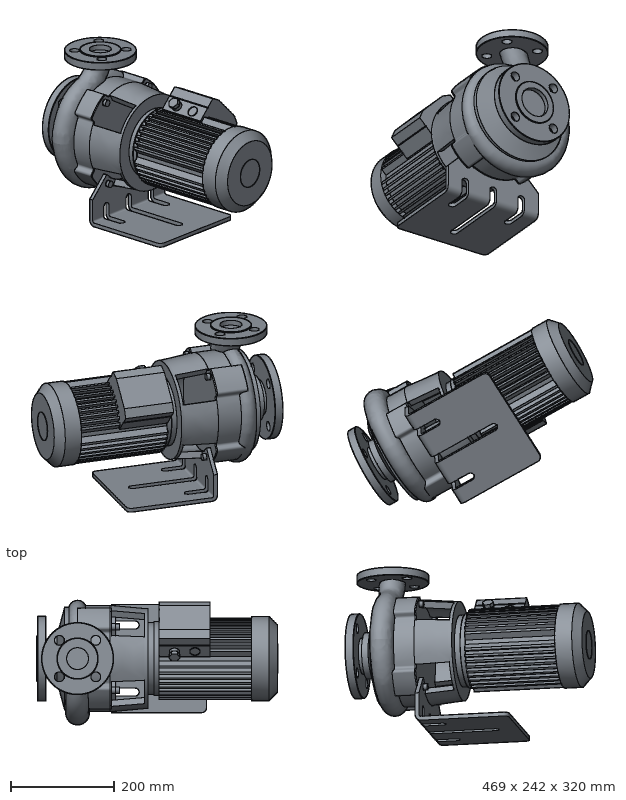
import cadquery as cq
import math


discharge_x = 80.0
discharge_height = 160.0
foot_height = 160.0
raised_face = 2.0
flange_chamfer = 1.0
bolt_hole_diameter = 19.0
bolt_hole_count = 4
bolt_hole_angle = 45.0
bore_depth = 10.0

suction_flange_diameter = 165.0
suction_flange_back_x = 19.0
suction_face_diameter = 88.0
suction_bore = 60.3
suction_bolt_circle = 125.0

discharge_flange_diameter = 140.0
discharge_flange_thickness = 16.0
discharge_face_diameter = 80.0
discharge_bore = 42.4
discharge_bolt_circle = 100.0
discharge_pipe_diameter = 50.0

neck_diameter = 70.3
neck_end_x = 27.4
hub_diameter = 90.3
hub_end_x = 40.2
cover_radius = 100.0
cover_start_x = 55.0

casing_radius = 103.0
casing_end_x = 143.0
lobe_angle = 45.0
lobe_radius = 115.0
lobe_half_width = 28.5
lobe_fillet = 5.0

volute_outer_start = 105.3
volute_outer_growth = 7.83
volute_tube_start = 14.5
volute_tube_growth = 2.83
spiral_growth_start = 90.0
spiral_end = 270
spiral_step = 45
outlet_arc_angles = (270, 285, 300)
outlet_tube = 23.0
outlet_bend = [
    (-68.9, 79.2, 36),
    (-39.0, 94.6, 31),
]
outlet_top_bend = (-12.5, 120.5, 58)
outlet_top_tube = 24.5
outlet_end_y = -1.0

lantern_flange_thickness = 2.7
lantern_rear_x = 210.0
lantern_end_x = 216.7
lantern_rear_diameter = 194.0
arm_wall = 13.2
arm_half_angle = 25.8
arm_directions = (0, 90, 180, 270)
lowest_arm = 270

screw_y = 61.5
screw_z = 83.0
screw_diameter = 9.0
screw_head_diameter = 13.0
screw_head_length = 8.0
screw_grip = 25.0

motor_neck_diameter = 140.0
motor_shoulder_diameter = 144.0
motor_shoulder_x = 228.0
fins_start_x = 238.0
fins_end_x = 417.5
fin_root_diameter = 139.0
fin_tip_diameter = 160.6
fin_thickness = 4.0
fin_pitch = 11.0
fins_per_quadrant = 9
fin_directions = (45, 135, 225, 315)
fan_cover_diameter = 164.0
fan_cover_bend_x = 451.4
fan_cover_end_x = 468.0
fan_cover_end_diameter = 130.0
end_disc_diameter = 56.0
motor_end_x = 469.0

box_length = 99.0
box_half_width = 50.3
box_base = 54.7
box_shoulder = 105.5
box_top = 112.7
lid_slope_width = 18.0
box_tilt = 45.0
lid_seam = 85.3
seam_width = 1.5
seam_depth = 1.0
gland_x = 267.8
knockout_x = 307.5
gland_level = 69.0
gland_diameter = 20.0
gland_neck_length = 8.0
gland_hex_length = 8.0
gland_hex_corners = 22.0
knockout_depth = 1.5

foot_thickness = 8.0
foot_front_x = casing_end_x + lantern_flange_thickness
foot_back_x = foot_front_x + foot_thickness
foot_half_width = 105.0
foot_end_x = 330.3
foot_bend_radius = 12.0
foot_corner_radius = 10.0
foot_shoulder_z = -105.0
foot_top_z = -64.4
foot_cutout_radius = 90.0
slot_width = 15.0
slot_pitch = 65.0
slot_top_z = -122.0
slot_end_x = 199.2
middle_slot_end_x = 290.5


def cylinder_x(diameter, start_x, end_x):
    """Cylinder on the shaft axis."""
    return cq.Workplane("YZ").workplane(offset=start_x).circle(diameter / 2).extrude(end_x - start_x)


def turned(profile):
    """Solid of revolution about the shaft from (x, radius) points."""
    return cq.Workplane("XY").polyline(profile).close().revolve(360, (0, 0, 0), (1, 0, 0))


def distance_from_diagonal(point):
    """Distance from a diagonal plane through the shaft, which is the middle of a lobe."""
    return abs(abs(point.y) - abs(point.z)) / math.sqrt(2)


def lobed_disc(start_x, end_x):
    """Round disc with four bolting lobes on its diagonals."""
    length = end_x - start_x
    disc = cylinder_x(2 * casing_radius, start_x, end_x)
    bars = cq.Workplane("YZ").workplane(offset=start_x)
    bars = bars.transformed(rotate=(0, 0, lobe_angle))
    bars = bars.rect(4 * lobe_radius, 2 * lobe_half_width).extrude(length).union(
        bars.rect(2 * lobe_half_width, 4 * lobe_radius).extrude(length)
    )
    lobed = disc.union(bars.intersect(cylinder_x(2 * lobe_radius, start_x, end_x)))
    lobe_corners = [
        edge
        for edge in lobed.edges("|X").vals()
        if math.isclose(distance_from_diagonal(edge.Center()), lobe_half_width, abs_tol=0.1)
    ]
    return lobed.newObject(lobe_corners).fillet(lobe_fillet)


def arm_sector(direction, start_x, end_x):
    """Wedge around the shaft that bounds one lantern arm."""
    reach = 2 * lobe_radius
    spread = reach * math.tan(math.radians(arm_half_angle))
    wedge = cq.Workplane("YZ").workplane(offset=start_x)
    wedge = wedge.polyline([(0, 0), (reach, spread), (reach, -spread)]).close().extrude(end_x - start_x)
    return wedge.rotate((0, 0, 0), (1, 0, 0), direction)


def screw_seat_x(z_side):
    """The lower screws clamp the foot, the upper ones sit on the lantern flange."""
    return foot_back_x if z_side < 0 else foot_front_x


def screw_shank(y_side, z_side):
    start_x = casing_end_x - screw_grip
    shank = cylinder_x(screw_diameter, start_x, screw_seat_x(z_side))
    return shank.translate((0, y_side * screw_y, z_side * screw_z))


def screw(y_side, z_side):
    seat_x = screw_seat_x(z_side)
    head = cylinder_x(screw_head_diameter, seat_x, seat_x + screw_head_length)
    head = head.translate((0, y_side * screw_y, z_side * screw_z))
    return screw_shank(y_side, z_side).union(head)


screw_sides = [(y_side, z_side) for y_side in (-1, 1) for z_side in (-1, 1)]


def drill_for_screws(body):
    for y_side, z_side in screw_sides:
        body = body.cut(screw_shank(y_side, z_side))
    return body


def flange(diameter, face_diameter, thickness):
    """Flange disc from Z = 0 downwards with its raised face on top."""
    disc = cq.Workplane("XY").circle(diameter / 2).extrude(-thickness)
    disc = disc.edges().chamfer(flange_chamfer)
    face = cq.Workplane("XY").circle(face_diameter / 2).extrude(raised_face)
    return disc.union(face.faces(">Z").chamfer(flange_chamfer))


def flange_cuts(bore, bolt_circle, thickness):
    """Blind bore and bolt holes of a flange, placed like the flange itself."""
    cuts = cq.Workplane("XY").workplane(offset=raised_face).circle(bore / 2).extrude(-bore_depth)
    holes = cq.Workplane("XY").polarArray(bolt_circle / 2, bolt_hole_angle, 360, bolt_hole_count)
    return cuts.union(holes.circle(bolt_hole_diameter / 2).extrude(-thickness))


def volute_section(center_y, center_z, heading, radius):
    """Circle across the flow; heading is the flow direction from +Y towards +Z."""
    turn = math.radians(heading)
    plane = cq.Plane((discharge_x, center_y, center_z), (1, 0, 0), (0, math.cos(turn), math.sin(turn)))
    return cq.Workplane(plane).circle(radius).wires().val()


def spiral_section(angle):
    """Section of the spiral, at an angle from +Z that runs over +Y and -Z."""
    quarters = min(max(angle, spiral_growth_start), spiral_end) / 90
    tube = volute_tube_start + volute_tube_growth * quarters
    radius = volute_outer_start + volute_outer_growth * quarters - tube
    turn = math.radians(angle)
    return volute_section(radius * math.sin(turn), radius * math.cos(turn), -angle, tube)


def spiral():
    """Tube that grows around the wheel for three quarters of a turn."""
    sections = [spiral_section(angle) for angle in range(0, spiral_end + 1, spiral_step)]
    return cq.Workplane(cq.Solid.makeLoft(sections, False))


def outlet():
    """Tube that leaves the spiral at -Y and bends up into the discharge flange."""
    pipe_top = discharge_height - raised_face - discharge_flange_thickness
    sections = [spiral_section(angle) for angle in outlet_arc_angles]
    sections += [volute_section(*station, outlet_tube) for station in outlet_bend]
    sections.append(volute_section(*outlet_top_bend, outlet_top_tube))
    sections.append(volute_section(outlet_end_y, pipe_top, 90, discharge_pipe_diameter / 2))
    return cq.Workplane(cq.Solid.makeLoft(sections, False))


def place_suction(shape):
    return shape.rotate((0, 0, 0), (0, 1, 0), -90).translate((raised_face, 0, 0))


def place_discharge(shape):
    return shape.translate((discharge_x, 0, discharge_height - raised_face))


def make_housing():
    casing = turned([
        (raised_face + bore_depth, 0),
        (raised_face + bore_depth, neck_diameter / 2),
        (neck_end_x, neck_diameter / 2),
        (neck_end_x, hub_diameter / 2),
        (hub_end_x, hub_diameter / 2),
        (cover_start_x, cover_radius),
        (discharge_x, cover_radius),
        (discharge_x, 0),
    ])
    suction_thickness = suction_flange_back_x - raised_face
    suction = place_suction(flange(suction_flange_diameter, suction_face_diameter, suction_thickness))
    discharge = place_discharge(
        flange(discharge_flange_diameter, discharge_face_diameter, discharge_flange_thickness)
    )
    body = casing.union(lobed_disc(discharge_x, casing_end_x)).union(spiral()).union(outlet())
    body = body.union(suction).union(discharge)
    body = body.cut(place_suction(flange_cuts(suction_bore, suction_bolt_circle, suction_thickness)))
    body = body.cut(
        place_discharge(flange_cuts(discharge_bore, discharge_bolt_circle, discharge_flange_thickness))
    )
    return drill_for_screws(body)


def make_lantern():
    rear_radius = lantern_rear_diameter / 2
    shell = turned([
        (foot_front_x, casing_radius - arm_wall),
        (foot_front_x, casing_radius),
        (lantern_rear_x, rear_radius),
        (lantern_rear_x, rear_radius - arm_wall),
    ])
    body = lobed_disc(casing_end_x, foot_front_x)
    body = body.union(cylinder_x(lantern_rear_diameter, lantern_rear_x, lantern_end_x))
    for direction in arm_directions:
        body = body.union(shell.intersect(arm_sector(direction, foot_front_x, lantern_rear_x)))
    return drill_for_screws(body)


def fin_quadrant():
    """Parallel fins that point along +Y."""
    tip_radius = fin_tip_diameter / 2
    fins = cq.Workplane("YZ").workplane(offset=fins_start_x)
    fins = fins.center(tip_radius / 2, 0).rarray(1, fin_pitch, 1, fins_per_quadrant)
    fins = fins.rect(tip_radius, fin_thickness).extrude(fins_end_x - fins_start_x)
    return fins.intersect(cylinder_x(fin_tip_diameter, fins_start_x, fins_end_x))


def box_block(base, top, half_width):
    """Plain block with the tilt of the terminal box, leaning from the shaft to +Y and +Z."""
    block = cq.Workplane("XY").box(box_length, 2 * half_width, top - base, centered=(False, True, False))
    return block.translate((fins_start_x, 0, base)).rotate((0, 0, 0), (1, 0, 0), -box_tilt)


def box_envelope():
    """Full outline of the terminal box, with the sloped edges of its lid."""
    lid_half_width = box_half_width - lid_slope_width
    lid = cq.Workplane("YZ").workplane(offset=fins_start_x).polyline([
        (-box_half_width, box_shoulder),
        (-lid_half_width, box_top),
        (lid_half_width, box_top),
        (box_half_width, box_shoulder),
    ]).close().extrude(box_length)
    lid = lid.rotate((0, 0, 0), (1, 0, 0), -box_tilt)
    return box_block(box_base, box_shoulder, box_half_width).union(lid)


def box_on_core():
    """Terminal box outline with its underside hollowed to sit on the motor core."""
    return box_envelope().cut(cylinder_x(fin_root_diameter, fins_start_x, fins_end_x))


def make_motor():
    body = turned([
        (lantern_end_x, 0),
        (lantern_end_x, motor_neck_diameter / 2),
        (motor_shoulder_x, motor_neck_diameter / 2),
        (motor_shoulder_x, motor_shoulder_diameter / 2),
        (fins_start_x, motor_shoulder_diameter / 2),
        (fins_start_x, fin_root_diameter / 2),
        (fins_end_x, fin_root_diameter / 2),
        (fins_end_x, fan_cover_diameter / 2),
        (fan_cover_bend_x, fan_cover_diameter / 2),
        (fan_cover_end_x, fan_cover_end_diameter / 2),
        (fan_cover_end_x, end_disc_diameter / 2),
        (motor_end_x, end_disc_diameter / 2),
        (motor_end_x, 0),
    ])
    fins = fin_quadrant()
    for direction in fin_directions:
        body = body.union(fins.rotate((0, 0, 0), (1, 0, 0), direction))
    return body.cut(box_on_core())


def make_terminal_box():
    body = box_on_core()
    seam = box_block(lid_seam - seam_width / 2, lid_seam + seam_width / 2, 2 * box_half_width)
    body = body.cut(seam.cut(box_block(box_base, box_top, box_half_width - seam_depth)))

    side = cq.Workplane("XZ", origin=(0, -box_half_width, 0))
    gland = side.center(gland_x, gland_level).circle(gland_diameter / 2).extrude(gland_neck_length)
    gland = gland.faces("<Y").workplane().polygon(6, gland_hex_corners).extrude(gland_hex_length)
    knockout = side.center(knockout_x, gland_level).circle(gland_diameter / 2).extrude(-knockout_depth)
    gland = gland.rotate((0, 0, 0), (1, 0, 0), -box_tilt)
    knockout = knockout.rotate((0, 0, 0), (1, 0, 0), -box_tilt)
    return body.union(gland).cut(knockout)


def foot_slot(y, end_x):
    """Round-ended slot through the upright plate, the bend and the base."""
    radius = slot_width / 2
    stem_height = foot_height + slot_top_z - radius
    stem = cq.Workplane("XY").box(
        end_x - radius - foot_front_x, slot_width, stem_height, centered=(False, True, False)
    ).translate((foot_front_x, y, -foot_height))
    top = cq.Workplane("YZ", origin=(foot_front_x, y, slot_top_z - radius))
    top = top.circle(radius).extrude(foot_thickness)
    end = cq.Workplane("XY", origin=(end_x - radius, y, -foot_height))
    end = end.circle(radius).extrude(foot_thickness)
    return stem.union(top).union(end)


def make_foot():
    length = foot_end_x - foot_front_x
    height = foot_top_z + foot_height
    body = cq.Workplane("XZ", origin=(foot_front_x, foot_half_width, -foot_height))
    body = body.polyline([
        (0, 0),
        (length, 0),
        (length, foot_thickness),
        (foot_thickness, foot_thickness),
        (foot_thickness, height),
        (0, height),
    ]).close().extrude(2 * foot_half_width)
    heel = cq.selectors.NearestToPointSelector((foot_front_x, 0, -foot_height))
    body = body.edges(heel).fillet(foot_bend_radius)
    inner_heel = cq.selectors.NearestToPointSelector((foot_back_x, 0, foot_thickness - foot_height))
    body = body.edges(inner_heel).fillet(foot_bend_radius - foot_thickness)
    body = body.edges("|Z and >X").fillet(foot_corner_radius)
    body = body.edges("|X and >Z").chamfer(foot_top_z - foot_shoulder_z)

    body = body.cut(cylinder_x(2 * foot_cutout_radius, foot_front_x, foot_back_x))
    arm_room = arm_sector(lowest_arm, foot_front_x, foot_back_x)
    body = body.cut(arm_room.intersect(cylinder_x(2 * casing_radius, foot_front_x, foot_back_x)))

    body = body.cut(foot_slot(-slot_pitch, slot_end_x))
    body = body.cut(foot_slot(0, middle_slot_end_x))
    body = body.cut(foot_slot(slot_pitch, slot_end_x))
    return drill_for_screws(body)


housing = make_housing()
lantern = make_lantern()
motor = make_motor()
terminal_box = make_terminal_box()
foot = make_foot()
screws = [screw(y_side, z_side) for y_side, z_side in screw_sides]

result = cq.Compound.makeCompound([
    housing.val(),
    lantern.val(),
    motor.val(),
    terminal_box.val(),
    foot.val(),
    *[item.val() for item in screws],
])